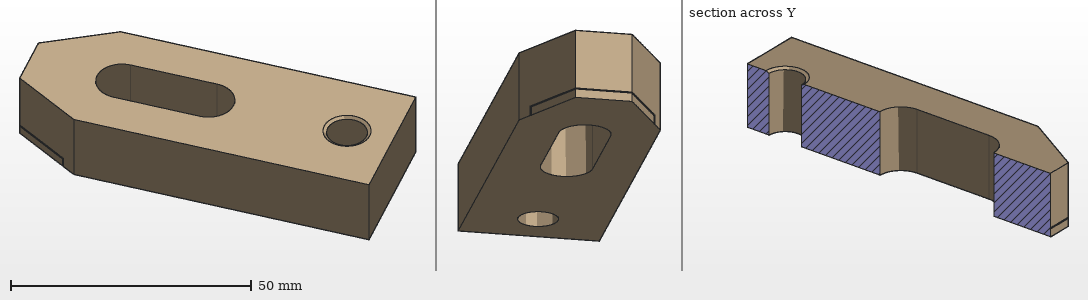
import cadquery as cq

LENGTH = 80.0
WIDTH = 30.0
HEIGHT = 15.0
NOSE_LENGTH = 15.0
NOSE_TIP_WIDTH = 12.0

SLOT_START = NOSE_LENGTH
SLOT_LENGTH = 30.0
SLOT_WIDTH = 11.0

HOLE_X = 70.0
HOLE_DIAMETER = 8.5
COUNTERSINK_DIAMETER = 10.0
COUNTERSINK_ANGLE = 120.0

PAD_LENGTH = 12.0
PAD_HEIGHT = 2.0
GROOVE_WIDTH = 0.2
GROOVE_DEPTH = GROOVE_WIDTH / 2


def body_outline():
    """Plan outline of the body, symmetric about the X axis."""
    half_width = WIDTH / 2
    half_tip = NOSE_TIP_WIDTH / 2
    return cq.Workplane("XY").polyline([
        (0, -half_tip),
        (NOSE_LENGTH, -half_width),
        (LENGTH, -half_width),
        (LENGTH, half_width),
        (NOSE_LENGTH, half_width),
        (0, half_tip),
    ]).close()


def stud_slot():
    center_x = SLOT_START + SLOT_LENGTH / 2
    return (
        cq.Workplane("XY")
        .center(center_x, 0)
        .slot2D(SLOT_LENGTH, SLOT_WIDTH)
        .extrude(HEIGHT)
    )


def pad_block(length, height):
    """Block below the nose, spanning the full width of the body."""
    return cq.Workplane("XY").box(length, WIDTH, height, centered=(False, True, False))


def pad_groove():
    """Groove along the top and the rear of the pad, cut into the outer faces of the nose."""
    half_groove = GROOVE_WIDTH / 2
    outer = pad_block(PAD_LENGTH + half_groove, PAD_HEIGHT + half_groove)
    inner = pad_block(PAD_LENGTH - half_groove, PAD_HEIGHT - half_groove)
    core = body_outline().offset2D(-GROOVE_DEPTH).extrude(HEIGHT)
    return outer.cut(inner).cut(core)


body = body_outline().extrude(HEIGHT)
body = body.cut(stud_slot())
body = (
    body.faces(">Z")
    .workplane(origin=(HOLE_X, 0, HEIGHT))
    .cskHole(HOLE_DIAMETER, COUNTERSINK_DIAMETER, COUNTERSINK_ANGLE)
)

result = body.cut(pad_groove())